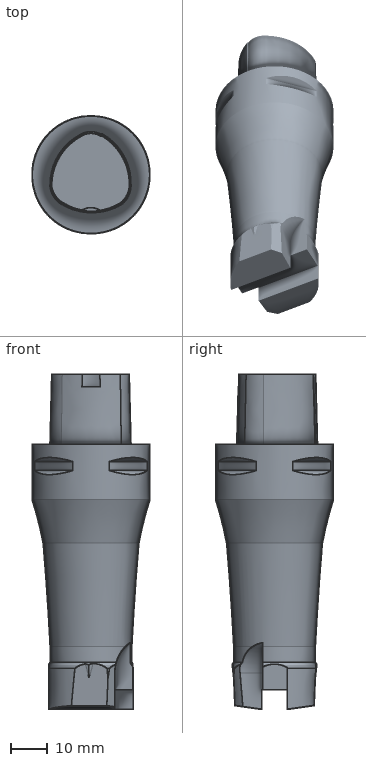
import cadquery as cq
import math

SHANK_LENGTH = 19.0
FLANGE_BOTTOM = -15.0
SHOULDER_BOTTOM = -26.8
NECK_BOTTOM = -54.8
HEAD_TOP = -59.25
TOOL_TIP = -72.0

SHANK_WIDTH = 22.0
SHANK_ECCENTRICITY = 0.7
LOBE_CENTRE_RADIUS = 6.15
SHANK_TAPER_RATIO = 1 / 20
NOTCH_RADIUS = 4.2
NOTCH_CENTRE_Y = -13.1
NOTCH_DEPTH = 3.5

FLANGE_RADIUS = 16.0
SHOULDER_RADIUS = 13.0
NECK_RADIUS = 11.1
SHOULDER_HOLLOW = 0.2
NECK_HOLLOW = 0.12

GROOVE_COUNT = 4
GROOVE_START_ANGLE = 45.0
GROOVE_FLOOR_DISTANCE = 14.25
GROOVE_CENTRE_Z = -5.95
GROOVE_FLOOR_HEIGHT = 2.4
GROOVE_FLANK_ANGLE = 33.0

HEAD_RADIUS = 12.0
HEAD_SEAM_RADIUS = 11.65
HEAD_SEAM_Z = -60.1
HEAD_RIM_Z = -60.85
RELIEF_TOP_Y = 11.25
RELIEF_BOTTOM_Y = 10.77
RELIEF_BOTTOM_Z = -70.95

SLOT_HALF_WIDTH = 3.4
SLOT_TOP = -66.65
WEB_HALF_LENGTH = 11.4

GULLET_BACK_X = 6.47
GULLET_WALL_Y = 3.2
GULLET_ARC_START_Z = -62.0
GULLET_ARC_RADIUS = 10.0

OBLIQUE_POINT = (6.47, -8.6, -71.0)
OBLIQUE_NORMAL = (1.0, -1.0, -0.084)

WEDGE_X = -0.55
WEDGE_HALF_WIDTH = 1.5
WEDGE_RIDGE_Y = -11.55
WEDGE_ROOT_Y = -11.15
WEDGE_TIP_Y = -11.1
WEDGE_TIP_Z = -63.2

BIG = 40.0


def polar(radius, angle, centre=(0.0, 0.0)):
    """Point at a radius and an angle in degrees around a centre."""
    a = math.radians(angle)
    return (centre[0] + radius * math.cos(a), centre[1] + radius * math.sin(a))


def make_shank():
    """Rounded triangle of constant width, one lobe toward +Y, tapering upward."""
    lobe_radius = SHANK_WIDTH / 2 + SHANK_ECCENTRICITY - LOBE_CENTRE_RADIUS
    flank_radius = SHANK_WIDTH - lobe_radius
    outline = cq.Workplane("XY").moveTo(*polar(lobe_radius, 60, polar(LOBE_CENTRE_RADIUS, 90)))
    for lobe_angle in (90, 210, 330):
        lobe_centre = polar(LOBE_CENTRE_RADIUS, lobe_angle)
        flank_centre = polar(LOBE_CENTRE_RADIUS, lobe_angle + 240)
        flank_angle = lobe_angle + 60
        outline = outline.threePointArc(
            polar(lobe_radius, lobe_angle, lobe_centre),
            polar(lobe_radius, lobe_angle + 30, lobe_centre),
        ).threePointArc(
            polar(flank_radius, flank_angle, flank_centre),
            polar(flank_radius, flank_angle + 30, flank_centre),
        )
    draft_angle = math.degrees(math.atan(SHANK_TAPER_RATIO / 2))
    shank = outline.close().extrude(SHANK_LENGTH, taper=draft_angle)
    notch = (
        cq.Workplane("XY", origin=(0, NOTCH_CENTRE_Y, SHANK_LENGTH - NOTCH_DEPTH))
        .circle(NOTCH_RADIUS)
        .extrude(NOTCH_DEPTH)
    )
    return shank.cut(notch)


def make_body():
    """Flange, hollow shoulder, hollow neck and short collar, turned about Z."""
    shoulder_middle = (
        (FLANGE_RADIUS + SHOULDER_RADIUS) / 2 - SHOULDER_HOLLOW,
        (FLANGE_BOTTOM + SHOULDER_BOTTOM) / 2,
    )
    neck_middle = (
        (SHOULDER_RADIUS + NECK_RADIUS) / 2 - NECK_HOLLOW,
        (SHOULDER_BOTTOM + NECK_BOTTOM) / 2,
    )
    return (
        cq.Workplane("XZ")
        .lineTo(FLANGE_RADIUS, 0)
        .lineTo(FLANGE_RADIUS, FLANGE_BOTTOM)
        .threePointArc(shoulder_middle, (SHOULDER_RADIUS, SHOULDER_BOTTOM))
        .threePointArc(neck_middle, (NECK_RADIUS, NECK_BOTTOM))
        .lineTo(NECK_RADIUS, HEAD_TOP)
        .lineTo(0, HEAD_TOP)
        .close()
        .revolve()
    )


def make_groove(angle):
    """Trapezoid groove with a flat floor, cut across the flange rim at an angle."""
    depth = FLANGE_RADIUS - GROOVE_FLOOR_DISTANCE
    half_floor = GROOVE_FLOOR_HEIGHT / 2
    half_mouth = half_floor + depth * math.tan(math.radians(GROOVE_FLANK_ANGLE))
    return (
        cq.Workplane("XZ", origin=(0, 0, GROOVE_CENTRE_Z))
        .moveTo(GROOVE_FLOOR_DISTANCE, -half_floor)
        .lineTo(FLANGE_RADIUS, -half_mouth)
        .lineTo(FLANGE_RADIUS, half_mouth)
        .lineTo(GROOVE_FLOOR_DISTANCE, half_floor)
        .close()
        .extrude(FLANGE_RADIUS, both=True)
        .rotate((0, 0, 0), (0, 0, 1), angle)
    )


def both_teeth(solid):
    """The solid and its copy turned half a turn about Z, for the opposite tooth."""
    return (solid, solid.rotate((0, 0, 0), (0, 0, 1), 180))


def make_head_blank():
    """Turned head with a two-step conical top."""
    return (
        cq.Workplane("XZ")
        .moveTo(0, HEAD_TOP)
        .lineTo(NECK_RADIUS, HEAD_TOP)
        .lineTo(HEAD_SEAM_RADIUS, HEAD_SEAM_Z)
        .lineTo(HEAD_RADIUS, HEAD_RIM_Z)
        .lineTo(HEAD_RADIUS, TOOL_TIP)
        .lineTo(0, TOOL_TIP)
        .close()
        .revolve()
    )


def make_tooth_envelope():
    """Back relief flats on +Y and -Y with the end faces rising outward."""
    return (
        cq.Workplane("YZ")
        .moveTo(-RELIEF_TOP_Y, HEAD_TOP)
        .lineTo(-RELIEF_BOTTOM_Y, RELIEF_BOTTOM_Z)
        .lineTo(-SLOT_HALF_WIDTH, TOOL_TIP)
        .lineTo(SLOT_HALF_WIDTH, TOOL_TIP)
        .lineTo(RELIEF_BOTTOM_Y, RELIEF_BOTTOM_Z)
        .lineTo(RELIEF_TOP_Y, HEAD_TOP)
        .close()
        .extrude(BIG, both=True)
    )


def make_wedge():
    """Slim three-sided wedge on the -Y flat, running out to a point downward."""
    left = cq.Vector(WEDGE_X - WEDGE_HALF_WIDTH, WEDGE_ROOT_Y, HEAD_TOP)
    right = cq.Vector(WEDGE_X + WEDGE_HALF_WIDTH, WEDGE_ROOT_Y, HEAD_TOP)
    ridge = cq.Vector(WEDGE_X, WEDGE_RIDGE_Y, HEAD_TOP)
    tip = cq.Vector(WEDGE_X, WEDGE_TIP_Y, WEDGE_TIP_Z)
    corner_sets = (
        (left, right, ridge),
        (left, ridge, tip),
        (ridge, right, tip),
        (right, left, tip),
    )
    faces = [cq.Face.makeFromWires(cq.Wire.makePolygon(c, close=True)) for c in corner_sets]
    return cq.Workplane(cq.Solid.makeSolid(cq.Shell.makeShell(faces)))


def make_oblique_relief():
    """Block behind the oblique plane that trims the outer corner of the -Y tooth."""
    plane = cq.Plane(origin=OBLIQUE_POINT, xDir=(1, 1, 0), normal=OBLIQUE_NORMAL)
    return cq.Workplane(plane).rect(BIG, BIG).extrude(BIG)


def make_gullet():
    """Chip space on the +X side of the -Y tooth, its back wall curving out at the top."""
    arc_centre = (GULLET_BACK_X + GULLET_ARC_RADIUS, GULLET_ARC_START_Z)
    return (
        cq.Workplane("XZ", origin=(0, -GULLET_WALL_Y, 0))
        .moveTo(GULLET_BACK_X, TOOL_TIP)
        .lineTo(GULLET_BACK_X, GULLET_ARC_START_Z)
        .threePointArc(
            polar(GULLET_ARC_RADIUS, 135, arc_centre),
            polar(GULLET_ARC_RADIUS, 90, arc_centre),
        )
        .lineTo(arc_centre[0], TOOL_TIP)
        .close()
        .extrude(BIG)
    )


def make_web_end_cut():
    """Flat end of the web on the +X side, as wide as the slot."""
    return (
        cq.Workplane("XY")
        .box(BIG, 2 * SLOT_HALF_WIDTH, HEAD_TOP - TOOL_TIP, centered=(False, True, False))
        .translate((WEB_HALF_LENGTH, 0, TOOL_TIP))
    )


def make_slot():
    """Slot through the tip along X, parting the two teeth."""
    return (
        cq.Workplane("XY")
        .box(BIG, 2 * SLOT_HALF_WIDTH, SLOT_TOP - TOOL_TIP, centered=(True, True, False))
        .translate((0, 0, TOOL_TIP))
    )


def make_head():
    """Two-tooth head, the same after half a turn about Z."""
    blank = make_head_blank()
    head = blank.intersect(make_tooth_envelope())
    for wedge in both_teeth(make_wedge().intersect(blank)):
        head = head.union(wedge)
    for relief in both_teeth(make_oblique_relief()):
        head = head.cut(relief)
    for end_cut in both_teeth(make_web_end_cut()):
        head = head.cut(end_cut)
    return head.cut(make_slot())


result = make_body().union(make_shank()).union(make_head())
for index in range(GROOVE_COUNT):
    result = result.cut(make_groove(GROOVE_START_ANGLE + index * 360 / GROOVE_COUNT))
for gullet in both_teeth(make_gullet()):
    result = result.cut(gullet)